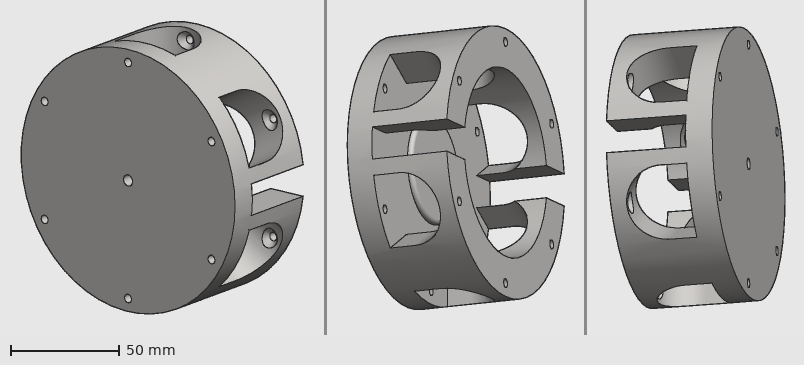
import cadquery as cq
import math

outer_diameter = 127.0
height = 50.8
plate_thickness = 12.7
inner_diameter = 88.9

boss_diameter = 50.8
boss_height = 2.5
boss_fillet = 1.9

window_count = 6
window_width = 35.5
window_spring_height = 25.4
slot_width = 15.2

center_hole_diameter = 5.3
screw_circle_radius = 57.2
screw_hole_diameter = 4.1
countersink_diameter = 8.6
countersink_angle = 90.0
countersink_overrun = 1.9

window_radius = window_width / 2
window_crown_height = window_spring_height + window_radius
window_angles = [30 + i * 360 / window_count for i in range(window_count)]


def cylinder(diameter, start, end, x=0, z=0):
    """Cylinder along Y between two heights, centered on (x, z)."""
    base = cq.Workplane("XZ", origin=(x, start, z))
    return base.circle(diameter / 2).extrude(start - end)


def window_cutter(angle):
    """Round-topped opening running outward from the axis at an angle from +X."""
    profile = (
        cq.Workplane("XY")
        .moveTo(-window_radius, plate_thickness)
        .lineTo(window_radius, plate_thickness)
        .lineTo(window_radius, window_spring_height)
        .threePointArc(
            (0, window_crown_height),
            (-window_radius, window_spring_height),
        )
        .close()
    )
    cutter = profile.extrude(outer_diameter)
    return cutter.rotate((0, 0, 0), (0, 1, 0), 90 - angle)


def screw_cutter(angle):
    """Through hole with a countersink opening into the curved window roof."""
    x = screw_circle_radius * math.cos(math.radians(angle))
    z = screw_circle_radius * math.sin(math.radians(angle))
    shank = cylinder(screw_hole_diameter, 0, height, x, z)
    slope = math.tan(math.radians(countersink_angle / 2))
    apex_height = window_crown_height + countersink_diameter / 2 / slope
    cone_base = window_crown_height - countersink_overrun
    cone_height = apex_height - cone_base
    cone = cq.Solid.makeCone(
        cone_height * slope, 0, cone_height,
        cq.Vector(x, cone_base, z), cq.Vector(0, 1, 0),
    )
    return shank.union(cq.Workplane(cone))


wall = cylinder(outer_diameter, plate_thickness, height)
wall = wall.cut(cylinder(inner_diameter, plate_thickness, height))
for window_angle in window_angles:
    wall = wall.cut(window_cutter(window_angle))
slots = cq.Workplane("XY").box(
    outer_diameter, height, slot_width, centered=(True, False, True)
)
wall = wall.cut(slots)

plate = cylinder(outer_diameter, 0, plate_thickness)
boss = cylinder(boss_diameter, plate_thickness, plate_thickness + boss_height)
boss = boss.faces(">Y").edges().fillet(boss_fillet)
body = plate.union(wall).union(boss)
body = body.cut(cylinder(center_hole_diameter, 0, height))
for screw_angle in window_angles:
    body = body.cut(screw_cutter(screw_angle))

result = body